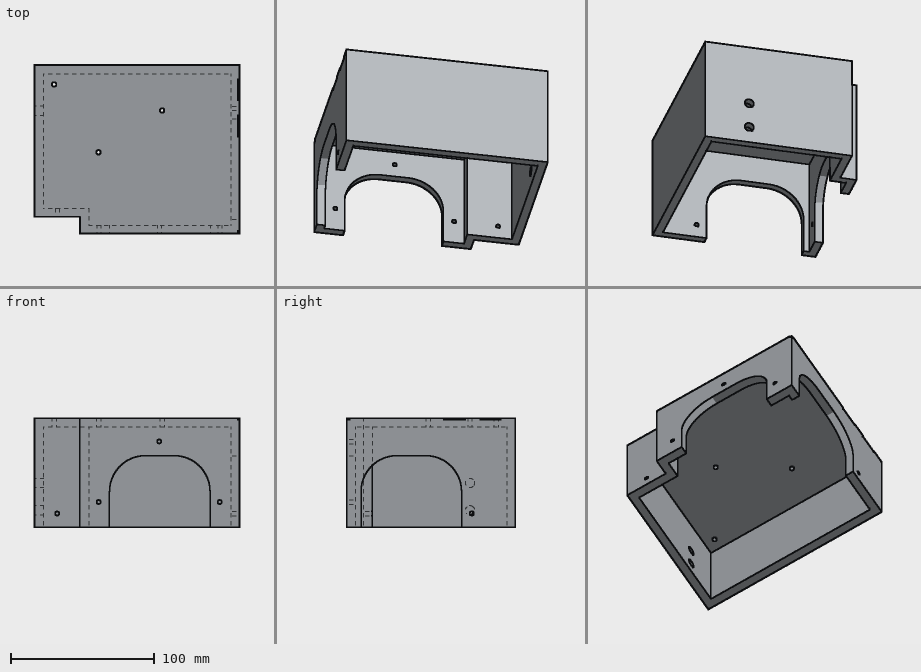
import cadquery as cq

length = 142.9
depth = 117.5
height = 76.2
wall = 6.0

step_width = 31.7
step_depth = 11.7

arch_center_x = 87.3
right_arch_center_y = 45.0
arch_width = 70.0
arch_height = 50.0
arch_radius = 25.0

screw_diameter = 2.9
front_pattern_x = 86.9
front_pattern_radius = 42.2
front_pattern_z = 17.7
low_screw_z = 9.7
step_screw_x = step_width / 2
right_screw_y = depth - 30.3

roof_hole_diameter = 3.0
roof_holes = [(13.7, 13.6), (88.9, 31.7), (44.6, 60.9)]

cable_diameter = 6.5
cable_y = depth - 31.7
cable_heights = [12.1, 31.2]

notch_size = 1.3
notch_spans = [
    (0.0, 2.0),
    (depth - 50.0, depth - 35.0),
    (depth - 24.5, depth - 10.0),
]


def stepped_block(inset, block_height):
    """Block with the stepped plan outline, moved inward by inset."""
    left = inset
    right = length - inset
    front = inset
    back = depth - inset
    step_x = step_width + inset
    step_y = step_depth + inset
    outline = [
        (step_x, front),
        (right, front),
        (right, back),
        (left, back),
        (left, step_y),
        (step_x, step_y),
    ]
    return cq.Workplane("XY").polyline(outline).close().extrude(block_height)


def arch():
    """Cutter for a round-shouldered opening, one wall thick along +Y and centered on X."""
    block = cq.Workplane("XY").box(arch_width, wall, arch_height, centered=(True, False, False))
    return block.edges("|Y and >Z").fillet(arch_radius)


def drill(diameter, start, direction):
    """Round cutter through one wall, starting on its outer face."""
    cutter = cq.Solid.makeCylinder(diameter / 2, wall, cq.Vector(*start), cq.Vector(*direction))
    return cq.Workplane(cutter)


def edge_notch(y_start, y_end):
    """Square cutter along the top right edge."""
    notch = cq.Workplane("XY").box(notch_size, y_end - y_start, notch_size, centered=False)
    return notch.translate((length - notch_size, y_start, height - notch_size))


result = stepped_block(0, height).cut(stepped_block(wall, height - wall))
result = result.cut(arch().translate((arch_center_x, 0, 0)))
right_arch = arch().rotate((0, 0, 0), (0, 0, 1), 90)
result = result.cut(right_arch.translate((length, right_arch_center_y, 0)))

front_screws = [
    (front_pattern_x - front_pattern_radius, 0, front_pattern_z),
    (front_pattern_x, 0, front_pattern_z + front_pattern_radius),
    (front_pattern_x + front_pattern_radius, 0, front_pattern_z),
    (step_screw_x, step_depth, low_screw_z),
]
for start in front_screws:
    result = result.cut(drill(screw_diameter, start, (0, 1, 0)))

result = result.cut(drill(screw_diameter, (length, right_screw_y, low_screw_z), (-1, 0, 0)))

for x, from_back in roof_holes:
    result = result.cut(drill(roof_hole_diameter, (x, depth - from_back, height), (0, 0, -1)))

for z in cable_heights:
    result = result.cut(drill(cable_diameter, (0, cable_y, z), (1, 0, 0)))

for y_start, y_end in notch_spans:
    result = result.cut(edge_notch(y_start, y_end))